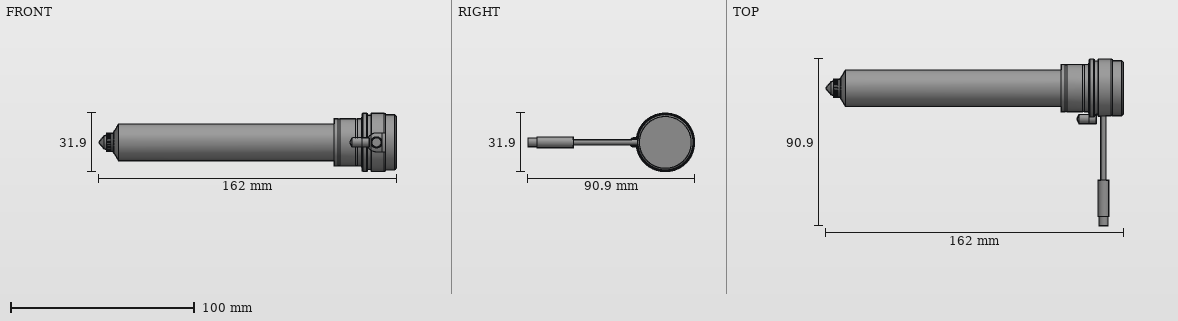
import cadquery as cq
import math


tip_flat_radius = 0.3
tip_cone_end = 2.8
tip_cone_radius = 3.5
tip_neck_radius = 4.0
collar_start = 4.2
collar_radius = 5.0
shoulder_start = 7.6
tube_start = 10.7
tube_radius = 10.0
sleeve_start = 128.1
sleeve_radius = 13.0
lip_start = 142.9
lip_radius = 13.5
flange_start = 143.4
flange_end = 146.3
rim_radius = 31.9 / 2
neck_radius = 14.9
ring_start = 148.0
ring_end = 156.2
edge_chamfer = 0.5
ring_end_chamfer_length = 0.8

line_groove_starts = (130.2, 139.8)
line_groove_width = 1.0
line_groove_depth = 0.2

knurl_count = 18
knurl_depth = 0.6
knurl_width = math.pi * collar_radius / knurl_count
knurl_bands = ((collar_start, 6.5), (shoulder_start, 8.3))

cap_radius = 15.0
cap_end = 162.0
cap_chamfer = 1.0

pin_axis_y = -16.8
pin_radius = 2.6
pin_tip = 136.7
pin_tip_radius = 0.3
pin_cone_end = 137.9
pin_band_end = 139.0
pin_band_taper = 0.08
boss_end = 147.5
boss_chamfer = 0.5

overall_width = 90.9

cable_x = 151.1
cable_radius = 1.5
cable_inner_y = -9.7
plug_start_y = -50.0
plug_radius = 6.0 / 2
plug_tip_start_y = -70.0
plug_tip_radius = 5.0 / 2
plug_end_y = rim_radius - overall_width

opening_half_width = 5.2
opening_floor_radius = 14.5
channel_start = ring_start
channel_end = 154.0
channel_floor_radius = 11.2


def cylinder_x(radius, start, end, axis_y=0.0):
    """Solid cylinder parallel to X between two X stations."""
    return cq.Workplane("YZ", origin=(start, axis_y, 0)).circle(radius).extrude(end - start)


def cylinder_y(radius, start_y, end_y):
    """Solid cylinder on the cable axis running from start_y out to end_y, towards -Y."""
    return cq.Workplane("XZ", origin=(cable_x, start_y, 0)).circle(radius).extrude(start_y - end_y)


def main_profile():
    """Stepped solid of revolution: tip, tube, sleeve, flange, neck and ring."""
    points = [
        (0, 0),
        (0, tip_flat_radius),
        (tip_cone_end, tip_cone_radius),
        (collar_start, tip_neck_radius),
        (collar_start, collar_radius),
        (shoulder_start, collar_radius),
        (tube_start, tube_radius),
        (sleeve_start, tube_radius),
        (sleeve_start, sleeve_radius),
        (lip_start, sleeve_radius),
        (lip_start, lip_radius),
        (flange_start, lip_radius),
        (flange_start, rim_radius - edge_chamfer),
        (flange_start + edge_chamfer, rim_radius),
        (flange_end - edge_chamfer, rim_radius),
        (flange_end, rim_radius - edge_chamfer),
        (flange_end, neck_radius),
        (ring_start, neck_radius),
        (ring_start, rim_radius - edge_chamfer),
        (ring_start + edge_chamfer, rim_radius),
        (ring_end - ring_end_chamfer_length, rim_radius),
        (ring_end, rim_radius - edge_chamfer),
        (ring_end, 0),
    ]
    return cq.Workplane("XY").polyline(points).close().revolve(360, (0, 0, 0), (1, 0, 0))


def line_groove(start):
    """Ring-shaped cutter for one shallow groove around the sleeve."""
    end = start + line_groove_width
    core = cylinder_x(sleeve_radius - line_groove_depth, start, end)
    return cylinder_x(sleeve_radius + line_groove_depth, start, end).cut(core)


def knurl_slot(start, end, angle):
    """Cutter for one straight knurl slot at the given angle around X."""
    slot = cq.Workplane("XY").box(end - start, knurl_width, 2 * knurl_depth)
    slot = slot.translate(((start + end) / 2, 0, collar_radius))
    return slot.rotate((0, 0, 0), (1, 0, 0), angle)


def opening_cutter():
    """U-shaped opening, rounded towards -X, with a deeper channel around the cable."""
    right_edge = ring_end - cable_x
    outline = (
        cq.Workplane("XZ", origin=(cable_x, 0, 0))
        .moveTo(right_edge, opening_half_width)
        .lineTo(0, opening_half_width)
        .threePointArc((-opening_half_width, 0), (0, -opening_half_width))
        .lineTo(right_edge, -opening_half_width)
        .close()
        .extrude(rim_radius)
    )
    shallow = outline.cut(cylinder_x(opening_floor_radius, flange_start, cap_end))
    channel = outline.intersect(cylinder_x(rim_radius, channel_start, channel_end))
    channel = channel.cut(cylinder_x(channel_floor_radius, flange_start, cap_end))
    return shallow.union(channel)


def make_barrel():
    barrel = main_profile()
    for start in line_groove_starts:
        barrel = barrel.cut(line_groove(start))
    for band_start, band_end in knurl_bands:
        for i in range(knurl_count):
            barrel = barrel.cut(knurl_slot(band_start, band_end, i * 360 / knurl_count))
    boss = cylinder_x(pin_radius, flange_start, boss_end, pin_axis_y).faces(">X").chamfer(boss_chamfer)
    barrel = barrel.cut(opening_cutter()).union(boss)
    cable_socket = cylinder_y(cable_radius, cable_inner_y, -rim_radius)
    return barrel.cut(cable_socket)


def make_cap():
    return cylinder_x(cap_radius, ring_end, cap_end).faces(">X").edges().chamfer(cap_chamfer)


def make_pin():
    """Pointed pin whose back face sits on the boss at the flange."""
    points = [
        (pin_tip, 0),
        (pin_tip, pin_tip_radius),
        (pin_cone_end, pin_radius - pin_band_taper),
        (pin_band_end, pin_radius),
        (flange_start, pin_radius),
        (flange_start, 0),
    ]
    pin = cq.Workplane("XY").polyline(points).close().revolve(360, (0, 0, 0), (1, 0, 0))
    return pin.translate((0, pin_axis_y, 0))


def make_cable():
    """Thin cable with its stepped plug."""
    cable = cylinder_y(cable_radius, cable_inner_y, plug_start_y)
    plug = cylinder_y(plug_radius, plug_start_y, plug_tip_start_y)
    plug_tip = cylinder_y(plug_tip_radius, plug_tip_start_y, plug_end_y)
    return cable.union(plug).union(plug_tip)


barrel = make_barrel()
cap = make_cap()
pin = make_pin()
cable = make_cable()

result = cq.Compound.makeCompound([barrel.val(), cap.val(), pin.val(), cable.val()])